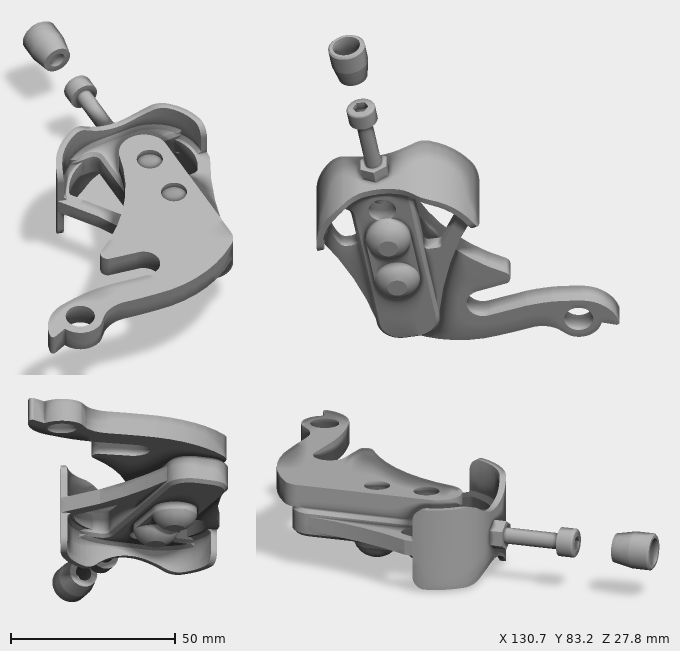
import cadquery as cq
import math


wall_thickness = 2.0
upper_radius = 17.4
upper_center_y = 3.8
upper_end_angle = 84.5
lower_radius = 22.5
lower_center_y = -7.3
lower_end_angle = 255.5
wall_height = 27.8
upper_wall_half = 12.8
wall_end_round = 3.9
web_chamfer = 1.0

web_half = 2.4
bar_half = 4.3
bar_half_width = 9.7
bar_end_x = 63.7
bar_corner_radius = 7.3
bar_chamfer = 1.0
window_wall_gap = 4.0
upper_window_left = 9.8
upper_window_right = 25.3
lower_window_left = 5.5
lower_window_right = 30.8
window_corner_radius = 2.4
lower_window_end_radius = 1.6
screw_relief_diameter = 8.4
screw_relief_x = 11.5

bolt_diameter = 8.0
bolt_head_diameter = 13.7
bolt_head_flat_radius = 3.0
bolt_head_height = 4.0
bolt_xs = [21.8, 37.7]
bolt_recess = 1.8
backing_thickness = 2.2
hanger_thickness = 7.0
hanger_eye_diameter = 8.9
hanger_eye = (72.0, -50.0)
hanger_eye_rim_radius = 7.2

screw_diameter = 5.0
screw_tip_x = 10.5
head_diameter = 8.9
head_length = 5.2
head_start_x = -26.6
head_rim_round = 0.8
socket_flats = 4.2
socket_depth = 2.6
nut_flats = 8.0
nut_thickness = 3.9
ferrule_start_x = -51.5
ferrule_length = 12.3
ferrule_diameter = 11.4
ferrule_tip_diameter = 8.9
ferrule_straight_length = 6.3
ferrule_mouth_diameter = 8.5
ferrule_chamfer = 0.5

hanger_bottom = bar_half
hanger_top = hanger_bottom + hanger_thickness
backing_bottom = -bar_half - backing_thickness

reach = 78.4


def slab(outline, bottom, top):
    """Extrude a closed plan outline between two Z levels."""
    return outline.extrude(top - bottom).translate((0, 0, bottom))


def x_cylinder(diameter, start, end):
    """Cylinder on the X axis."""
    return cq.Workplane("YZ").workplane(offset=start).circle(diameter / 2).extrude(end - start)


def upper_point(angle, inset):
    """Point on the upper wall arc, moved inward from the outer face by the inset."""
    radius = upper_radius - inset
    turn = math.radians(angle)
    return (upper_radius + radius * math.cos(turn), upper_center_y + radius * math.sin(turn))


def lower_point(angle, inset):
    """Point on the lower wall arc, moved inward from the outer face by the inset."""
    radius = lower_radius - inset
    turn = math.radians(angle)
    return (lower_radius + radius * math.cos(turn), lower_center_y + radius * math.sin(turn))


upper_mid_angle = (upper_end_angle + 180) / 2
lower_mid_angle = (180 + lower_end_angle) / 2


def wall_curve(path, inset):
    """Continue a path from the upper wall end to the lower one."""
    return (
        path.threePointArc(upper_point(upper_mid_angle, inset), upper_point(180, inset))
        .lineTo(*lower_point(180, inset))
        .threePointArc(lower_point(lower_mid_angle, inset), lower_point(lower_end_angle, inset))
    )


def wall_curve_back(path, inset):
    """Continue a path from the lower wall end to the upper one."""
    return (
        path.threePointArc(lower_point(lower_mid_angle, inset), lower_point(180, inset))
        .lineTo(*upper_point(180, inset))
        .threePointArc(upper_point(upper_mid_angle, inset), upper_point(upper_end_angle, inset))
    )


def make_wall():
    """Curved wall, waisted around the adjuster and rounded at its end corners."""
    lower_wall_half = wall_height / 2
    outline = cq.Workplane("XY").moveTo(*upper_point(upper_end_angle, 0))
    outline = wall_curve(outline, 0).lineTo(*lower_point(lower_end_angle, wall_thickness))
    outline = wall_curve_back(outline, wall_thickness).close()
    wall = slab(outline, -lower_wall_half, lower_wall_half)

    waist = (
        cq.Workplane("YZ")
        .moveTo(reach, 0)
        .lineTo(reach, upper_wall_half)
        .lineTo(15.8, upper_wall_half)
        .threePointArc((13.0, 12.5), (10.5, 11.4))
        .threePointArc((-0.8, 8.0), (-11.5, 11.9))
        .threePointArc((-14.1, 13.5), (-17.2, lower_wall_half))
        .lineTo(-reach, lower_wall_half)
        .lineTo(-reach, 0)
        .close()
        .extrude(reach)
    )
    wall = wall.intersect(waist.union(waist.mirror("XY")))

    pick = 0.5
    for x, y in (
        upper_point(upper_end_angle, wall_thickness / 2),
        lower_point(lower_end_angle, wall_thickness / 2),
    ):
        near_end = cq.selectors.BoxSelector(
            (x - pick, y - pick, -wall_height), (x + pick, y + pick, wall_height)
        )
        wall = wall.edges(near_end).edges("#Z").fillet(wall_end_round)
    return wall


def web_outline():
    """Plan of the whole web: wall curve on the left, two long arms meeting the bar on the right."""
    arm_end_x = bar_end_x - bar_corner_radius
    outline = cq.Workplane("XY").moveTo(*upper_point(upper_end_angle, 0))
    outline = wall_curve(outline, 0)
    return (
        outline.lineTo(28.7, -20.9)
        .threePointArc((36.5, -16.8), (arm_end_x, -bar_half_width))
        .lineTo(arm_end_x, bar_half_width)
        .threePointArc((37.2, 14.1), (21.7, 20.8))
        .close()
    )


def window_zone(left, sign):
    """Area beside the bar on one side, with a rounded corner next to the wall."""
    corners = [(left, bar_half_width), (reach, bar_half_width), (reach, reach), (left, reach)]
    outline = cq.Workplane("XY").polyline([(x, sign * y) for x, y in corners]).close()
    zone = slab(outline, -bar_half * 2, bar_half * 2)
    return zone.edges("|Z and <X").edges(">Y" if sign < 0 else "<Y").fillet(window_corner_radius)


def make_upper_window(zone):
    """Upper window, concentric with the upper wall arc."""
    disc = cq.Workplane("XY").center(upper_radius, upper_center_y)
    disc = slab(disc.circle(upper_radius - window_wall_gap), -bar_half, bar_half)
    limit = cq.Workplane("XY").box(2 * upper_window_right, 2 * reach, wall_height)
    return zone.intersect(disc).intersect(limit).edges("|Z and >X").fillet(window_corner_radius)


def make_lower_window(zone):
    """Lower window, bounded by the lower wall arc and by the straight arm."""
    disc = cq.Workplane("XY").center(lower_radius, lower_center_y)
    disc = slab(disc.circle(lower_radius - window_wall_gap), -bar_half, bar_half)
    right = lower_window_right
    corners = [(0, 0), (right, 0), (right, -14.6), (16.2, -24.3), (0, -24.3)]
    limit = slab(cq.Workplane("XY").polyline(corners).close(), -bar_half, bar_half)
    return zone.intersect(disc).intersect(limit).edges("|Z and >X").fillet(lower_window_end_radius)


def make_bar(zones):
    """Thick bar with chamfered rims; it also fills the area between the wall and the windows."""
    start = -13
    half_blank = 39.2
    corners = [(start, -half_blank), (bar_end_x, -half_blank), (bar_end_x, half_blank), (start, half_blank)]
    bar = slab(cq.Workplane("XY").polyline(corners).close(), -bar_half, bar_half)
    for zone in zones:
        bar = bar.cut(zone)
    bar = bar.edges("|Z and >X").fillet(bar_corner_radius)
    return bar.faces("|Z").edges().chamfer(bar_chamfer)


def wall_foot(level):
    """Sloping strip in the inner corner where the wall stands on a surface at the given level."""
    overlap = 0.1
    inset = wall_thickness - overlap
    start = upper_point(upper_end_angle, inset)
    path = cq.Workplane("XY").workplane(offset=level).moveTo(*start)
    path = wall_curve(path, inset)
    turn = math.radians(upper_end_angle)
    section = cq.Plane(
        origin=(start[0], start[1], level),
        xDir=(-math.cos(turn), -math.sin(turn), 0),
        normal=(-math.sin(turn), math.cos(turn), 0),
    )
    size = web_chamfer + overlap
    corners = [(0, -overlap), (size, -overlap), (size, 0), (0, size)]
    return cq.Workplane(section).polyline(corners).close().sweep(path)


def bolt_holes():
    """Cutter for the bolt holes through the bracket, the hanger and the backing plate."""
    holes = cq.Workplane("XY").pushPoints([(x, 0) for x in bolt_xs]).circle(bolt_diameter / 2)
    return slab(holes, -wall_height, wall_height)


def make_bracket():
    """Bracket: curved wall, web with two windows, thick bar, and holes for the screw and bolts."""
    zones = [window_zone(upper_window_left, 1), window_zone(lower_window_left, -1)]
    web = slab(web_outline(), -web_half, web_half)

    bar_envelope = slab(web_outline(), -wall_height, wall_height)
    bar_run = cq.Workplane("XY").box(
        bar_end_x - screw_relief_x, 2 * bar_half_width, wall_height, centered=(False, True, True)
    )
    bar_envelope = bar_envelope.union(bar_run.translate((screw_relief_x, 0, 0)))
    web = web.union(make_bar(zones).intersect(bar_envelope))

    web_foot = wall_foot(web_half)
    bar_foot = wall_foot(bar_half)
    for zone in zones:
        bar_foot = bar_foot.cut(zone)
    for foot in (web_foot, bar_foot):
        web = web.union(foot).union(foot.mirror("XY"))

    web = web.cut(make_upper_window(zones[0])).cut(make_lower_window(zones[1]))
    bracket = web.union(make_wall())
    bracket = bracket.cut(x_cylinder(screw_diameter, -1.3, screw_relief_x))
    relief = cq.Workplane("XY").center(screw_relief_x, 0).circle(screw_relief_diameter / 2)
    bracket = bracket.cut(slab(relief, -wall_height, wall_height))
    return bracket.cut(bolt_holes())


def make_hanger():
    """Flat hanger: a tab on the bar, a hooked slot, and an arm ending in an eye with a stop claw."""
    eye_x, eye_y = hanger_eye
    outline = (
        cq.Workplane("XY")
        .moveTo(60.7, 7.5)
        .lineTo(17.5, 7.5)
        .threePointArc((10.7, 0), (15.9, -7.5))
        .threePointArc((35.0, -15.7), (49.9, -31.3))
        .threePointArc((52.0, -32.4), (54.0, -31.1))
        .lineTo(55.6, -22.1)
        .threePointArc((60.6, -17.4), (65.8, -23.0))
        .lineTo(64.0, -35.1)
        .threePointArc((63.7, -39.2), (63.7, -43.4))
        .threePointArc((64.1, -47.1), (64.8, -51.2))
        .threePointArc((67.9, -58.2), (75.4, -62.0))
        .threePointArc((76.1, -61.6), (76.1, -60.6))
        .lineTo(74.6, -56.7)
        .threePointArc((eye_x + hanger_eye_rim_radius, eye_y), (77.8, -46.0))
        .lineTo(74.8, -43.1)
        .threePointArc((73.0, -39.5), (72.9, -35.0))
        .threePointArc((73.8, -28.6), (74.6, -20.2))
        .threePointArc((72.0, -5.5), (65.8, 5.0))
        .threePointArc((63.7, 6.8), (60.7, 7.5))
        .close()
    )
    eye = cq.Workplane("XY").center(eye_x, eye_y).circle(hanger_eye_diameter / 2)
    hanger = slab(outline, hanger_bottom, hanger_top)
    return hanger.cut(slab(eye, 0, wall_height)).cut(bolt_holes())


def make_backing_plate():
    """Obround plate under the bar, as wide as the bolt heads."""
    spacing = bolt_xs[1] - bolt_xs[0]
    outline = cq.Workplane("XY").center(sum(bolt_xs) / 2, 0)
    outline = outline.slot2D(spacing + bolt_head_diameter, bolt_head_diameter)
    return slab(outline, backing_bottom, -bar_half).cut(bolt_holes())


def make_bolt(x):
    """Round-headed bolt, pointing up, with its end recessed below the hanger's top face."""
    tip = hanger_top - bolt_recess
    shank_radius = bolt_diameter / 2
    head_radius = bolt_head_diameter / 2
    head_bottom = backing_bottom - bolt_head_height
    profile = (
        cq.Workplane("XZ")
        .moveTo(0, head_bottom)
        .lineTo(bolt_head_flat_radius, head_bottom)
        .threePointArc((5.5, backing_bottom - 2.4), (head_radius, backing_bottom))
        .lineTo(shank_radius, backing_bottom)
        .lineTo(shank_radius, tip)
        .lineTo(0, tip)
        .close()
    )
    return profile.revolve(360, (0, 0, 0), (0, 1, 0)).translate((x, 0, 0))


def make_nut():
    """Hexagon nut against the wall, with corners at the top and bottom."""
    corner_diameter = nut_flats / math.cos(math.pi / 6)
    nut = cq.Workplane("YZ").polygon(6, corner_diameter).extrude(-nut_thickness)
    nut = nut.rotate((0, 0, 0), (1, 0, 0), 90)
    return nut.cut(x_cylinder(screw_diameter, -nut_thickness, 0))


def make_screw():
    """Socket-head adjuster screw."""
    head_end_x = head_start_x + head_length
    head = x_cylinder(head_diameter, head_start_x, head_end_x)
    head = head.faces("<X").edges().fillet(head_rim_round)
    socket = cq.Workplane("YZ").workplane(offset=head_start_x)
    socket = socket.polygon(6, socket_flats / math.cos(math.pi / 6)).extrude(socket_depth)
    return head.cut(socket).union(x_cylinder(screw_diameter, head_end_x, screw_tip_x))


def make_ferrule():
    """Cable ferrule: straight then tapered outside, with a tapering bore."""
    end_x = ferrule_start_x + ferrule_length
    profile = (
        cq.Workplane("XY")
        .moveTo(ferrule_start_x, ferrule_mouth_diameter / 2)
        .lineTo(ferrule_start_x, ferrule_diameter / 2 - ferrule_chamfer)
        .lineTo(ferrule_start_x + ferrule_chamfer, ferrule_diameter / 2)
        .lineTo(ferrule_start_x + ferrule_straight_length, ferrule_diameter / 2)
        .lineTo(end_x, ferrule_tip_diameter / 2)
        .lineTo(end_x, screw_diameter / 2)
        .close()
    )
    return profile.revolve(360, (0, 0, 0), (1, 0, 0))


bracket = make_bracket()
hanger = make_hanger()
backing_plate = make_backing_plate()
bolts = [make_bolt(x) for x in bolt_xs]
nut = make_nut()
screw = make_screw()
ferrule = make_ferrule()

result = cq.Compound.makeCompound(
    [
        bracket.val(),
        hanger.val(),
        backing_plate.val(),
        *[bolt.val() for bolt in bolts],
        nut.val(),
        screw.val(),
        ferrule.val(),
    ]
)